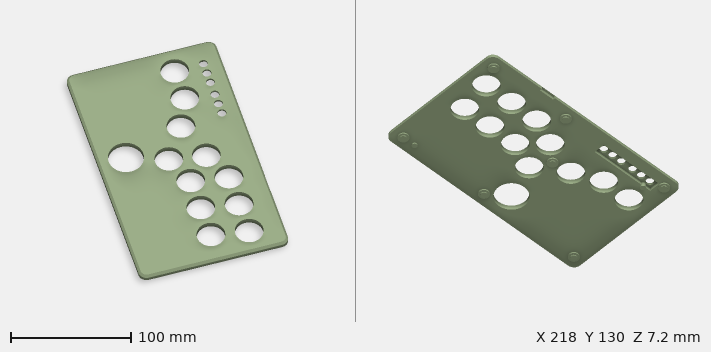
import cadquery as cq

LENGTH = 218.0
WIDTH = 130.0
THICKNESS = 5.0
CORNER_RADIUS = 7.0
CHAMFER = 2.0

BUTTON_DIAMETER = 24.0
BUTTON_PITCH = 29.0
BUTTON_ROWS = [
    (-87.0, 24.0, 2),
    (-31.2, 12.5, 1),
    (30.3, 35.5, 3),
    (24.9, 4.0, 3),
    (3.7, 24.0, 1),
    (-1.7, -7.0, 1),
]
THUMB_DIAMETER = 30.0
THUMB_CENTER = (-13.5, -40.8)

SMALL_DIAMETER = 7.5
SMALL_PITCH = 10.0
SMALL_PER_GROUP = 3
SMALL_ROW_Y = 49.0
SMALL_GROUP_STARTS = (-87.2, -54.3)

POCKET_ROOF = 2.0
POCKET_MARGIN = 1.7
POCKET_DEPTH = THICKNESS - POCKET_ROOF

NOTCH_CENTER_X = 45.0
NOTCH_WIDTH = 15.3
NOTCH_HEIGHT = 3.3
NOTCH_DEPTH = 2.2

BOSS_DIAMETER = 10.0
BOSS_HEIGHT = 1.3
SPIGOT_DIAMETER = 6.0
SPIGOT_HEIGHT = 0.9
BOSS_X = 98.0
BOSS_BACK_Y = 54.7
BOSS_FRONT_Y = -54.0
BOSS_CENTERS = [
    (-BOSS_X, BOSS_BACK_Y),
    (BOSS_X, BOSS_BACK_Y),
    (-BOSS_X, BOSS_FRONT_Y),
    (BOSS_X, BOSS_FRONT_Y),
    (-11.3, 11.1),
    (5.5, BOSS_FRONT_Y),
    (15.0, BOSS_BACK_Y),
]

PIN_DIAMETER = 5.0
PIN_X = 85.2
PIN_BACK_Y = 42.7
PIN_CENTERS = [(-PIN_X, PIN_BACK_Y), (PIN_X, BOSS_FRONT_Y)]


def hole_row(first_x, y, count, pitch):
    """Centres of equally spaced holes along X."""
    return [(first_x + i * pitch, y) for i in range(count)]


def cylinders(centers, diameter, bottom, top):
    """Upright cylinders between two Z levels."""
    base = cq.Workplane("XY", origin=(0, 0, bottom))
    return base.pushPoints(centers).circle(diameter / 2).extrude(top - bottom)


def block(center_x, center_y, length, width, height):
    """Box standing on the underside plane of the plate."""
    return cq.Workplane("XY").center(center_x, center_y).rect(length, width).extrude(height)


plate = block(0, 0, LENGTH, WIDTH, THICKNESS).edges("|Z").fillet(CORNER_RADIUS)
plate = plate.faces(">Z").chamfer(CHAMFER)

button_centers = []
for row_x, row_y, row_count in BUTTON_ROWS:
    button_centers += hole_row(row_x, row_y, row_count, BUTTON_PITCH)

small_centers = []
for group_x in SMALL_GROUP_STARTS:
    small_centers += hole_row(group_x, SMALL_ROW_Y, SMALL_PER_GROUP, SMALL_PITCH)

plate = plate.cut(cylinders(button_centers, BUTTON_DIAMETER, 0, THICKNESS))
plate = plate.cut(cylinders([THUMB_CENTER], THUMB_DIAMETER, 0, THICKNESS))
plate = plate.cut(cylinders(small_centers, SMALL_DIAMETER, 0, THICKNESS))

first_small_x = small_centers[0][0]
last_small_x = small_centers[-1][0]
pocket_width = SMALL_DIAMETER + 2 * POCKET_MARGIN
pocket_length = last_small_x - first_small_x + pocket_width
pocket_center_x = (first_small_x + last_small_x) / 2
plate = plate.cut(block(pocket_center_x, SMALL_ROW_Y, pocket_length, pocket_width, POCKET_DEPTH))

notch_center_y = (WIDTH - NOTCH_DEPTH) / 2
plate = plate.cut(block(NOTCH_CENTER_X, notch_center_y, NOTCH_WIDTH, NOTCH_DEPTH, NOTCH_HEIGHT))

spigot_bottom = -BOSS_HEIGHT - SPIGOT_HEIGHT
result = (
    plate
    .union(cylinders(BOSS_CENTERS, BOSS_DIAMETER, -BOSS_HEIGHT, 0))
    .union(cylinders(BOSS_CENTERS, SPIGOT_DIAMETER, spigot_bottom, -BOSS_HEIGHT))
    .union(cylinders(PIN_CENTERS, PIN_DIAMETER, -BOSS_HEIGHT, POCKET_DEPTH))
)